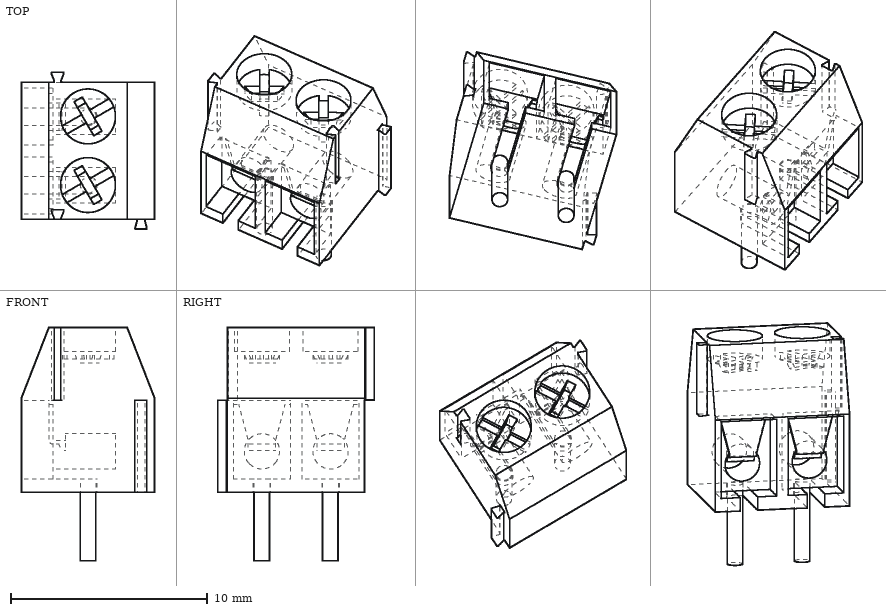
import cadquery as cq
import math

body_width = 6.8
body_length = 7.0
body_height = 8.4
top_width = 4.0
shoulder_height = 4.8

pole_count = 2
pole_pitch = 3.5

entry_width = 2.9
entry_floor = 0.7
entry_ceiling = 4.7
entry_depth = 1.6
front_x = -body_width / 2
entry_back_x = front_x + entry_depth

wire_hole_diameter = 1.8
wire_hole_height = 2.1
wire_hole_end_x = 1.4

pin_diameter = 0.8
pin_length = 3.5
pin_slot_width = 0.9

guard_thickness = 0.2
guard_arm_height = 0.2
guard_top_width = 2.36
tongue_width = 1.4
tongue_flat_length = 0.3
tongue_slope_run = 0.15
tongue_drop = 0.33

well_diameter = 2.8
well_depth = 1.2
screw_angle = 30
long_slot_width = 0.48
long_slot_depth = 0.4
short_slot_width = 0.48
short_slot_length = 2.0
short_slot_floor_length = 1.32
short_slot_depth = 0.6

dovetail_reach = 0.5
dovetail_root_radius = 0.05
dovetail_tip_radius = 0.05
dovetail_split_height = 4.7
upper_dovetail_x = -1.55
upper_tip_width = 0.7
upper_neck_width = 0.34
lower_dovetail_x = 2.7
lower_tip_width = 0.64
lower_neck_width = 0.4


def make_housing():
    outline = [
        (-body_width / 2, 0),
        (body_width / 2, 0),
        (body_width / 2, shoulder_height),
        (top_width / 2, body_height),
        (-top_width / 2, body_height),
        (-body_width / 2, shoulder_height),
    ]
    return cq.Workplane("XZ").polyline(outline).close().extrude(body_length / 2, both=True)


def box_between(x_range, y_center, y_size, z_range):
    x_size = x_range[1] - x_range[0]
    z_size = z_range[1] - z_range[0]
    box = cq.Workplane("XY").box(x_size, y_size, z_size, centered=(False, True, False))
    return box.translate((x_range[0], y_center, z_range[0]))


def make_wire_entry(y):
    """Pocket, wire hole and open-ended pin slot cut from one pole."""
    pocket = box_between((front_x, entry_back_x), y, entry_width, (entry_floor, entry_ceiling))
    hole = (
        cq.Workplane("YZ", origin=(entry_back_x, y, wire_hole_height))
        .circle(wire_hole_diameter / 2)
        .extrude(wire_hole_end_x - entry_back_x)
    )
    slot = box_between((front_x, 0), y, pin_slot_width, (0, entry_floor))
    slot_end = (
        cq.Workplane("XY", origin=(0, y, 0)).circle(pin_slot_width / 2).extrude(entry_floor)
    )
    return pocket.union(hole).union(slot).union(slot_end)


def make_wire_guard(y):
    """T-shaped plate whose lower end bends inward and fills the top of the wire hole."""
    hole_radius = wire_hole_diameter / 2
    bend_top = wire_hole_height + math.sqrt(hole_radius**2 - (tongue_width / 2) ** 2)
    arm_bottom = entry_ceiling - guard_arm_height
    plate_outline = [
        (-entry_width / 2, entry_ceiling),
        (-entry_width / 2, arm_bottom),
        (-guard_top_width / 2, arm_bottom),
        (-tongue_width / 2, bend_top),
        (tongue_width / 2, bend_top),
        (guard_top_width / 2, arm_bottom),
        (entry_width / 2, arm_bottom),
        (entry_width / 2, entry_ceiling),
    ]
    outer_x = entry_back_x - guard_thickness
    plate = (
        cq.Workplane("YZ", origin=(outer_x, y, 0))
        .polyline(plate_outline)
        .close()
        .extrude(guard_thickness)
    )

    underside = bend_top - guard_thickness
    slope_start_x = entry_back_x + tongue_flat_length
    slope_end_x = slope_start_x + tongue_slope_run
    embedded_top = wire_hole_height + hole_radius + guard_thickness
    tongue = (
        cq.Workplane("XZ", origin=(0, y, 0))
        .moveTo(outer_x, bend_top)
        .radiusArc((entry_back_x, underside), -guard_thickness)
        .lineTo(slope_start_x, underside)
        .lineTo(slope_end_x, underside - tongue_drop)
        .lineTo(slope_end_x + guard_thickness, underside - tongue_drop)
        .lineTo(slope_end_x + guard_thickness, embedded_top)
        .lineTo(entry_back_x, embedded_top)
        .lineTo(entry_back_x, bend_top)
        .close()
        .extrude(tongue_width / 2, both=True)
    )
    return plate.union(tongue)


def make_screw_well(y):
    """Round well with a full-width slot and a deeper, tapered cross slot in its floor."""
    floor = body_height - well_depth
    full_depth = well_depth + long_slot_depth
    envelope = cq.Workplane("XY").circle(well_diameter / 2).extrude(full_depth)
    above_floor = (
        cq.Workplane("XY", origin=(0, 0, long_slot_depth))
        .rect(2 * well_diameter, 2 * well_diameter)
        .extrude(well_depth)
    )
    long_slot = (
        cq.Workplane("XY").rect(2 * well_diameter, long_slot_width).extrude(full_depth)
    )
    well = envelope.intersect(above_floor.union(long_slot))
    well = well.translate((0, 0, -long_slot_depth))
    short_slot_outline = [
        (-short_slot_length / 2, 0),
        (short_slot_length / 2, 0),
        (short_slot_floor_length / 2, -short_slot_depth),
        (-short_slot_floor_length / 2, -short_slot_depth),
    ]
    short_slot = (
        cq.Workplane("YZ")
        .polyline(short_slot_outline)
        .close()
        .extrude(short_slot_width / 2, both=True)
    )
    cutter = well.union(short_slot)
    return cutter.rotate((0, 0, 0), (0, 0, 1), screw_angle).translate((0, y, floor))


def make_pin(y):
    height = pin_length + entry_floor
    pin = cq.Workplane("XY").circle(pin_diameter / 2).extrude(height)
    return pin.translate((0, y, -pin_length))


def make_dovetail(neck_width, tip_width, z_range):
    """Dovetail bar pointing along +Y, with a flared root on the plane Y = 0."""
    half_neck = neck_width / 2
    half_tip = tip_width / 2
    half_root = half_neck + dovetail_root_radius
    bar = (
        cq.Workplane("XY", origin=(0, 0, z_range[0]))
        .moveTo(half_root, 0)
        .radiusArc((half_neck, dovetail_root_radius), dovetail_root_radius)
        .lineTo(half_tip, dovetail_reach)
        .lineTo(-half_tip, dovetail_reach)
        .lineTo(-half_neck, dovetail_root_radius)
        .radiusArc((-half_root, 0), dovetail_root_radius)
        .close()
        .extrude(z_range[1] - z_range[0])
    )
    return bar.faces(">Y").edges("|Z").fillet(dovetail_tip_radius)


upper_range = (dovetail_split_height, body_height)
lower_range = (0, dovetail_split_height)
upper_dovetail = make_dovetail(upper_neck_width, upper_tip_width, upper_range)
lower_dovetail = make_dovetail(lower_neck_width, lower_tip_width, lower_range)
lower_dovetail = lower_dovetail.rotate((0, 0, 0), (0, 0, 1), 180)

result = make_housing()
result = result.union(upper_dovetail.translate((upper_dovetail_x, body_length / 2, 0)))
result = result.cut(upper_dovetail.translate((upper_dovetail_x, -body_length / 2, 0)))
result = result.union(lower_dovetail.translate((lower_dovetail_x, -body_length / 2, 0)))

for pole in range(pole_count):
    pole_y = (pole - (pole_count - 1) / 2) * pole_pitch
    result = result.cut(make_wire_entry(pole_y))
    result = result.union(make_wire_guard(pole_y))
    result = result.cut(make_screw_well(pole_y))
    result = result.union(make_pin(pole_y))